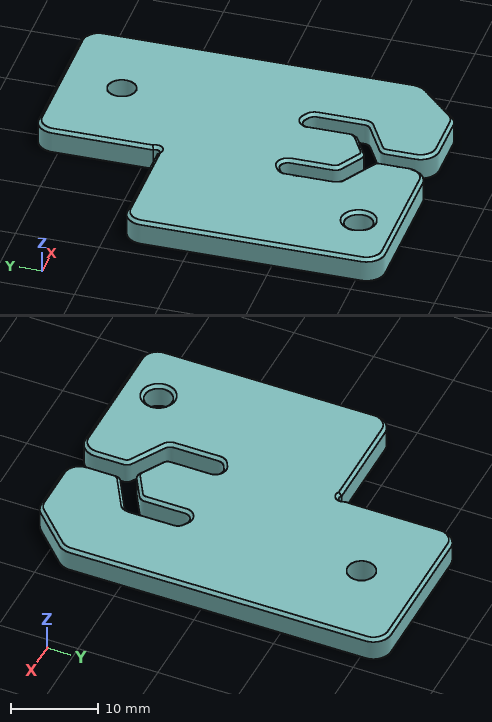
import cadquery as cq
import math

width = 36.0
length = 45.8
thickness = 3.0
edge_chamfer = 0.4
corner_radius = 2.25

step_x = 15.0
step_y = 30.8
relief_radius = 0.5

corner_cut = 5.5

hole_diameter = 3.4
upper_hole = (25.5, 38.35)
lower_hole = (7.45, 4.7)

slot_center_x = 20.65
channel_half_width = 1.1
tongue_half_width = 3.7
slot_outer_half_width = 6.15
slot_inner_end_y = 17.4
tongue_tip_y = 7.9
channel_corner_y = 6.3
fork_slope = math.tan(math.radians(30))
fork_radius = 1.0

tongue_corner_y = tongue_tip_y + tongue_half_width * fork_slope
slot_outer_corner_y = channel_corner_y + (slot_outer_half_width - channel_half_width) * fork_slope
slot_outer_end_y = slot_inner_end_y - (slot_outer_half_width - tongue_half_width) * fork_slope


def prism(points):
    """Full-thickness prism over a closed outline."""
    return cq.Workplane("XY").polyline(points).close().extrude(thickness)


def through_hole(body, center, radius):
    """Cut a round hole through the full thickness."""
    return body.cut(cq.Workplane("XY").center(*center).circle(radius).extrude(thickness))


def fillet_upright_edges(body, points, radius):
    """Round the upright edges that pass through the given plan points."""
    for x, y in points:
        edge = cq.selectors.NearestToPointSelector((x, y, thickness / 2))
        body = body.edges("|Z").edges(edge).fillet(radius)
    return body


def slot_points(side):
    """Half of the slot outline, from the channel mouth to the tongue tip; side is -1 or 1."""
    half_outline = [
        (channel_half_width, 0),
        (channel_half_width, channel_corner_y),
        (slot_outer_half_width, slot_outer_corner_y),
        (slot_outer_half_width, slot_outer_end_y),
        (tongue_half_width, slot_inner_end_y),
        (tongue_half_width, tongue_corner_y),
    ]
    return [(slot_center_x + side * x, y) for x, y in half_outline]


left_slot = slot_points(-1)
right_slot = slot_points(1)
tongue_tip = (slot_center_x, tongue_tip_y)
plate_corners = [(0, 0), (0, step_y), (step_x, length), (width, length)]
cut_corners = [(width - corner_cut, 0), (width, corner_cut)]
plate = prism(
    [(0, 0)]
    + left_slot
    + [tongue_tip]
    + right_slot[::-1]
    + cut_corners
    + [(width, length), (step_x, length), (step_x, step_y), (0, step_y)]
)

plate = fillet_upright_edges(plate, plate_corners + cut_corners, corner_radius)
plate = fillet_upright_edges(plate, [tongue_tip], fork_radius)
for mouth, channel_corner, outer_corner, outer_end, inner_end, tongue_corner in (left_slot, right_slot):
    plate = fillet_upright_edges(plate, [mouth], corner_radius)
    fork_corners = [channel_corner, outer_corner, outer_end, inner_end, tongue_corner]
    plate = fillet_upright_edges(plate, fork_corners, fork_radius)

relief_offset = relief_radius * math.sqrt(0.5)
relief_center = (step_x - relief_offset, step_y + relief_offset)
plate = through_hole(plate, relief_center, relief_radius)

plate = through_hole(plate, lower_hole, hole_diameter / 2)
plate = plate.faces(">Z").chamfer(edge_chamfer)

result = through_hole(plate, upper_hole, hole_diameter / 2)